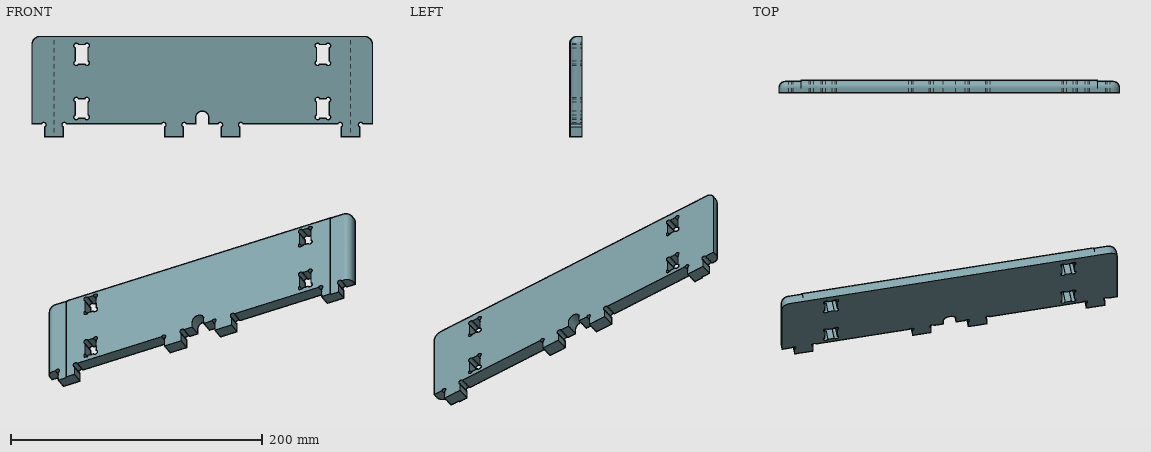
import cadquery as cq

length = 271.0
height = 80.0
thickness = 10.0
corner_radius = 6.8

end_thickness = 9.2
raised_start = 17.5
flat_edge = 3.8

tab_height = 10.3
tab_width = 15.0
tab_offsets = (22.5, 118.0)
slot_width = 10.0
slot_height = 15.5
slot_offset = 96.0
slot_levels = (22.5, 65.5)

relief_radius = 2.0
relief_inset = 0.8

notch_radius = 5.1
notch_top = 20.3

middle = length / 2
tab_overlap = 2.7
body_height = height - tab_height
raised_length = length - 2 * raised_start


def block(x_start, z_start, width, tall, depth):
    """Box standing on the front plane."""
    return cq.Workplane("XY").box(width, depth, tall, centered=False).translate((x_start, 0, z_start))


def through_cylinder(x, z, radius):
    """Cutter running along y through the full thickness."""
    return cq.Workplane("XZ", origin=(x, 0, z)).circle(radius).extrude(-thickness)


def mirrored_places(offsets):
    return [middle + side * offset for side in (-1, 1) for offset in offsets]


def make_end_plate():
    """Plate with rounded top corners and a rounded back rim on the sides and top."""
    plate = block(0, tab_height, length, body_height, end_thickness)
    plate = plate.edges("|Y and >Z").fillet(corner_radius)
    return plate.faces(">Y").edges("not <Z").fillet(end_thickness - flat_edge)


def make_raised_middle():
    """Thicker middle with its own rounded top edge."""
    raised = block(raised_start, tab_height, raised_length, body_height, thickness)
    return raised.edges(">Y and >Z").fillet(thickness - flat_edge)


def make_tab(x):
    """Tab that keeps the stepped back where it crosses the end of the raised middle."""
    left = x - tab_width / 2
    right = x + tab_width / 2
    tall = tab_height + tab_overlap
    tab = block(left, 0, tab_width, tall, end_thickness)
    raised_left = max(left, raised_start)
    raised_right = min(right, length - raised_start)
    return tab.union(block(raised_left, 0, raised_right - raised_left, tall, thickness))


def cut_tab_reliefs(body, x):
    for side in (-1, 1):
        relief_x = x + side * (tab_width / 2 + relief_inset)
        body = body.cut(through_cylinder(relief_x, tab_height - relief_inset, relief_radius))
    return body


def cut_slot(body, x, z):
    """Rectangular slot with a round relief at each corner."""
    body = body.cut(block(x - slot_width / 2, z - slot_height / 2, slot_width, slot_height, thickness))
    for x_side in (-1, 1):
        for z_side in (-1, 1):
            relief_x = x + x_side * (slot_width / 2 - relief_inset)
            relief_z = z + z_side * (slot_height / 2 - relief_inset)
            body = body.cut(through_cylinder(relief_x, relief_z, relief_radius))
    return body


def cut_notch(body):
    """Round-topped notch in the middle of the bottom edge."""
    arch_centre = notch_top - notch_radius
    body = body.cut(block(middle - notch_radius, 0, 2 * notch_radius, arch_centre, thickness))
    return body.cut(through_cylinder(middle, arch_centre, notch_radius))


body = make_end_plate().union(make_raised_middle())
for tab_x in mirrored_places(tab_offsets):
    body = body.union(make_tab(tab_x))
    body = cut_tab_reliefs(body, tab_x)
for slot_x in mirrored_places((slot_offset,)):
    for slot_z in slot_levels:
        body = cut_slot(body, slot_x, slot_z)

result = cut_notch(body)